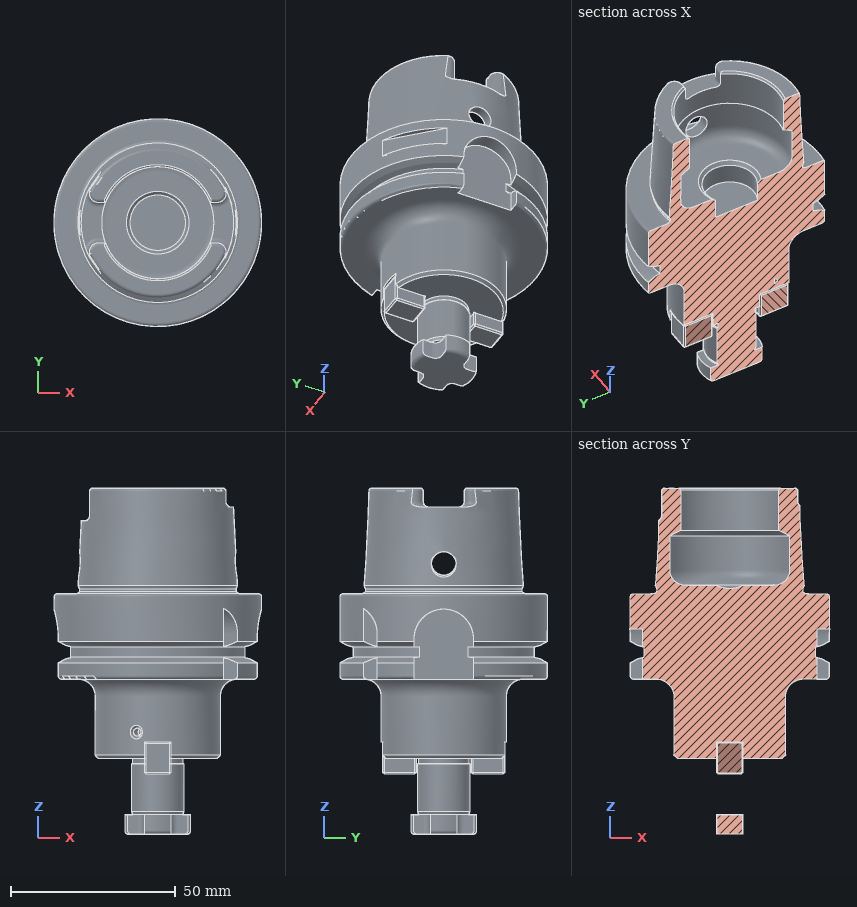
import cadquery as cq
import math


shank_height = 32.0
taper_gauge_radius = 24.005
taper_gauge_height = 6.3
taper_slope = 0.05
taper_bottom = 2.4
relief_radius = 23.8
relief_top = 1.4
rim_fillet = 1.0

flare_top = 0.6
flare_middle_radius = 24.3
flare_middle_height = 0.2
flare_outer_radius = 25.4

flange_radius = 31.5
flange_length = 26.0
flange_fillet = 1.0

groove_center = -17.75
groove_floor_radius = 27.5
groove_floor_half_width = 1.5
groove_bend_radius = 29.4
groove_bend_half_width = 2.05
groove_mouth_half_width = groove_bend_half_width + (
    flange_radius - groove_bend_radius
) * math.tan(math.radians(30))

body_radius = 19.05
body_bottom = -50.0
body_root_fillet = 5.0
body_chamfer = 1.0
pilot_radius = 8.0
pilot_length = 17.0
pilot_bottom = body_bottom - pilot_length
pilot_neck_radius = 7.7
pilot_neck_length = 1.7
pilot_neck_cone = 0.2
pilot_end_chamfer_height = 1.0
pilot_end_chamfer = 0.4
head_radius = 10.0
head_thickness = 6.0
head_arm_width = 8.0
head_root_fillet = 2.0
head_edge_fillet = 1.2

lip_radius = 17.0
lip_bottom = 19.2
mouth_chamfer = 0.6
cavity_radius = 20.0
cavity_cone_angle = 60.0
cavity_floor = 2.6
cavity_floor_fillet = 4.3
recess_radius = 9.5
recess_chamfer = 1.1
recess_depth = 8.0

drive_slot_half_width = 6.15
drive_slot_fillet = 1.5
drive_slot_corner_radius = 2.65
drive_slot_corner_x = 18.05
drive_slot_inner_x = 10.0
drive_slot_outer_half_width = 16.0
drive_slot_outer_x = 30.0
drive_slot_floors = {-1: 22.1, 1: 26.3}

access_hole_radius = 3.75
access_hole_height = 9.1
access_hole_tilt = 8.0

keyway_half_width = 9.0
keyway_floor_x = 26.5
keyway_arch_center = -13.7
notch_floor_x = 20.0
notch_wall_y = -20.2
notch_arch_radius = 9.0
notch_arch_center = -12.1
flat_distance = 29.77
flat_top = -3.8
flat_height = 6.0
flat_angle = 135.0

coolant_angle = 250.0
coolant_height = -42.0
coolant_hole_radius = 1.2
coolant_rim_radius = 2.05
coolant_depth = 5.0

key_width = 8.0
key_inner_y = 8.3
key_outer_y = 18.5
key_top = -45.0
key_bottom = -54.7
key_chamfer = 0.5

clearance = 5.0


def taper_radius(height):
    return taper_gauge_radius - taper_slope * (height - taper_gauge_height)


def revolve_about_z(profile):
    return profile.close().revolve(360, (0, 0, 0), (0, 1, 0))


def holder_blank():
    """Solid of revolution with every outside diameter."""
    neck_bottom = body_bottom - pilot_neck_length
    flange_bottom = -flange_length
    root_arc_shift = body_root_fillet * (1 - math.sqrt(0.5))
    profile = (
        cq.Workplane("XZ")
        .moveTo(0, shank_height)
        .lineTo(taper_radius(shank_height), shank_height)
        .lineTo(taper_radius(taper_bottom), taper_bottom)
        .lineTo(relief_radius, relief_top)
        .lineTo(relief_radius, flare_top)
        .threePointArc((flare_middle_radius, flare_middle_height), (flare_outer_radius, 0))
        .lineTo(flange_radius - flange_fillet, 0)
        .radiusArc((flange_radius, -flange_fillet), flange_fillet)
        .lineTo(flange_radius, groove_center + groove_mouth_half_width)
        .lineTo(groove_bend_radius, groove_center + groove_bend_half_width)
        .lineTo(groove_floor_radius, groove_center + groove_floor_half_width)
        .lineTo(groove_floor_radius, groove_center - groove_floor_half_width)
        .lineTo(groove_bend_radius, groove_center - groove_bend_half_width)
        .lineTo(flange_radius, groove_center - groove_mouth_half_width)
        .lineTo(flange_radius, flange_bottom + flange_fillet)
        .radiusArc((flange_radius - flange_fillet, flange_bottom), flange_fillet)
        .lineTo(body_radius + body_root_fillet, flange_bottom)
        .threePointArc(
            (body_radius + root_arc_shift, flange_bottom - root_arc_shift),
            (body_radius, flange_bottom - body_root_fillet),
        )
        .lineTo(body_radius, body_bottom + body_chamfer)
        .lineTo(body_radius - body_chamfer, body_bottom)
        .lineTo(pilot_neck_radius, body_bottom)
        .lineTo(pilot_neck_radius, neck_bottom + pilot_neck_cone)
        .lineTo(pilot_radius, neck_bottom)
        .lineTo(pilot_radius, pilot_bottom + pilot_end_chamfer_height)
        .lineTo(pilot_radius - pilot_end_chamfer, pilot_bottom)
        .lineTo(0, pilot_bottom)
    )
    return revolve_about_z(profile)


def clamping_head():
    """Cross-shaped head at the lower end of the pilot."""
    head_bottom = pilot_bottom - head_thickness
    arm_length = 2 * (head_radius + clearance)
    disc = (
        cq.Workplane("XY", origin=(0, 0, head_bottom))
        .circle(head_radius)
        .extrude(head_thickness)
        .faces("<Z")
        .edges()
        .fillet(head_edge_fillet)
    )
    arms = cq.Workplane("XY", origin=(0, 0, head_bottom))
    cross = (
        arms.rect(arm_length, head_arm_width)
        .extrude(head_thickness)
        .union(arms.rect(head_arm_width, arm_length).extrude(head_thickness))
    )
    reach = head_arm_width
    inner_corners = cq.selectors.BoxSelector(
        (-reach, -reach, head_bottom),
        (reach, reach, pilot_bottom),
    )
    cross = cross.edges("|Z").edges(inner_corners).fillet(head_root_fillet)
    return disc.intersect(cross)


def shank_cavity():
    """Clamping bore with its undercut and the stepped recess in its floor."""
    cone_height = (cavity_radius - lip_radius) / math.tan(math.radians(cavity_cone_angle))
    profile = (
        cq.Workplane("XZ")
        .moveTo(0, shank_height)
        .lineTo(lip_radius + mouth_chamfer, shank_height)
        .lineTo(lip_radius, shank_height - mouth_chamfer)
        .lineTo(lip_radius, lip_bottom)
        .lineTo(cavity_radius, lip_bottom - cone_height)
        .lineTo(cavity_radius, cavity_floor + cavity_floor_fillet)
        .radiusArc((cavity_radius - cavity_floor_fillet, cavity_floor), cavity_floor_fillet)
        .lineTo(recess_radius, cavity_floor)
        .lineTo(recess_radius - recess_chamfer, cavity_floor - recess_chamfer)
        .lineTo(recess_radius - recess_chamfer, cavity_floor - recess_depth)
        .lineTo(0, cavity_floor - recess_depth)
    )
    return revolve_about_z(profile)


def drive_slot(side):
    """Rim slot on the -X (side = -1) or +X (side = 1) half, with a flared mouth."""
    floor = drive_slot_floors[side]
    shoulder_x = drive_slot_corner_x + drive_slot_corner_radius
    shoulder_y = drive_slot_half_width + drive_slot_corner_radius
    mid_x = drive_slot_corner_x + drive_slot_corner_radius * math.sqrt(0.5)
    mid_y = shoulder_y - drive_slot_corner_radius * math.sqrt(0.5)
    outline = (
        cq.Workplane("XY", origin=(0, 0, floor))
        .moveTo(side * drive_slot_inner_x, -drive_slot_half_width)
        .lineTo(side * drive_slot_corner_x, -drive_slot_half_width)
        .threePointArc((side * mid_x, -mid_y), (side * shoulder_x, -shoulder_y))
        .lineTo(side * shoulder_x, -drive_slot_outer_half_width)
        .lineTo(side * drive_slot_outer_x, -drive_slot_outer_half_width)
        .lineTo(side * drive_slot_outer_x, drive_slot_outer_half_width)
        .lineTo(side * shoulder_x, drive_slot_outer_half_width)
        .lineTo(side * shoulder_x, shoulder_y)
        .threePointArc((side * mid_x, mid_y), (side * drive_slot_corner_x, drive_slot_half_width))
        .lineTo(side * drive_slot_inner_x, drive_slot_half_width)
        .close()
    )
    slot = outline.extrude(shank_height - floor + clearance)
    return slot.faces("<Z").edges().fillet(drive_slot_fillet)


def access_hole(side):
    """Hole through the shank wall that falls slightly towards the outside."""
    tilt = math.radians(access_hole_tilt)
    direction = cq.Vector(side * math.cos(tilt), 0, -math.sin(tilt))
    wall_middle = cq.Vector(
        side * (cavity_radius + taper_radius(access_hole_height)) / 2, 0, access_hole_height
    )
    start = wall_middle - direction * clearance
    return cq.Workplane(
        cq.Solid.makeCylinder(access_hole_radius, 2 * clearance, start, direction)
    )


def arched_cutter(x_floor, length, y_center, z_center, radius):
    """Round-topped slot cutter along +X that is open through the flange bottom."""
    bottom = -flange_length - body_root_fillet
    return (
        cq.Workplane("YZ", origin=(x_floor, 0, 0))
        .moveTo(y_center - radius, bottom)
        .lineTo(y_center - radius, z_center)
        .threePointArc((y_center, z_center + radius), (y_center + radius, z_center))
        .lineTo(y_center + radius, bottom)
        .close()
        .extrude(length)
    )


def keyway():
    length = flange_radius - keyway_floor_x + clearance
    return arched_cutter(keyway_floor_x, length, 0, keyway_arch_center, keyway_half_width)


def corner_notch():
    length = flange_radius - notch_floor_x
    y_center = notch_wall_y - notch_arch_radius
    return arched_cutter(notch_floor_x, length, y_center, notch_arch_center, notch_arch_radius)


def flange_flat():
    return (
        cq.Workplane("XY")
        .box(clearance, 2 * flange_radius, flat_height, centered=(False, True, False))
        .translate((flat_distance, 0, flat_top - flat_height))
        .rotate((0, 0, 0), (0, 0, 1), flat_angle)
    )


def coolant_outlet():
    """Blind radial hole with a countersunk rim."""
    sink = coolant_rim_radius - coolant_hole_radius
    profile = (
        cq.Workplane("XZ")
        .moveTo(0, clearance)
        .lineTo(coolant_rim_radius, clearance)
        .lineTo(coolant_rim_radius, 0)
        .lineTo(coolant_hole_radius, -sink)
        .lineTo(coolant_hole_radius, -coolant_depth)
        .lineTo(0, -coolant_depth)
    )
    return (
        revolve_about_z(profile)
        .rotate((0, 0, 0), (0, 1, 0), 90)
        .translate((body_radius, 0, coolant_height))
        .rotate((0, 0, 0), (0, 0, 1), coolant_angle)
    )


def key_block(side):
    """Plain block filling a key seat on the -Y (side = -1) or +Y (side = 1) half."""
    length = key_outer_y - key_inner_y
    height = key_top - key_bottom
    center = (0, side * (key_inner_y + length / 2), key_bottom + height / 2)
    return cq.Workplane("XY").box(key_width, length, height).translate(center)


def key_seat(side):
    outward = (0, side * clearance, 0)
    return key_block(side).union(key_block(side).translate(outward))


def drive_key(side):
    return key_block(side).edges().chamfer(key_chamfer)


def round_rim(body):
    """Round the rim along the taper and the slot walls, leaving the chamfered bore mouth."""
    bore_mouth_radius = lip_radius + mouth_chamfer
    rim_edges = [
        edge
        for edge in body.faces(">Z").edges().vals()
        if math.hypot(*edge.positionAt(0.5).toTuple()[:2]) > bore_mouth_radius + mouth_chamfer / 2
    ]
    return body.newObject(rim_edges).fillet(rim_fillet)


def build_holder():
    body = holder_blank().union(clamping_head())
    body = body.cut(shank_cavity())
    for side in (-1, 1):
        body = body.cut(drive_slot(side))
    body = round_rim(body)
    for side in (-1, 1):
        body = body.cut(access_hole(side))
        body = body.cut(key_seat(side))
    body = body.cut(keyway())
    body = body.cut(keyway().mirror("YZ"))
    body = body.cut(corner_notch())
    body = body.cut(flange_flat())
    return body.cut(coolant_outlet())


holder = build_holder()
drive_keys = [drive_key(side) for side in (-1, 1)]

result = cq.Compound.makeCompound([holder.val(), *[key.val() for key in drive_keys]])